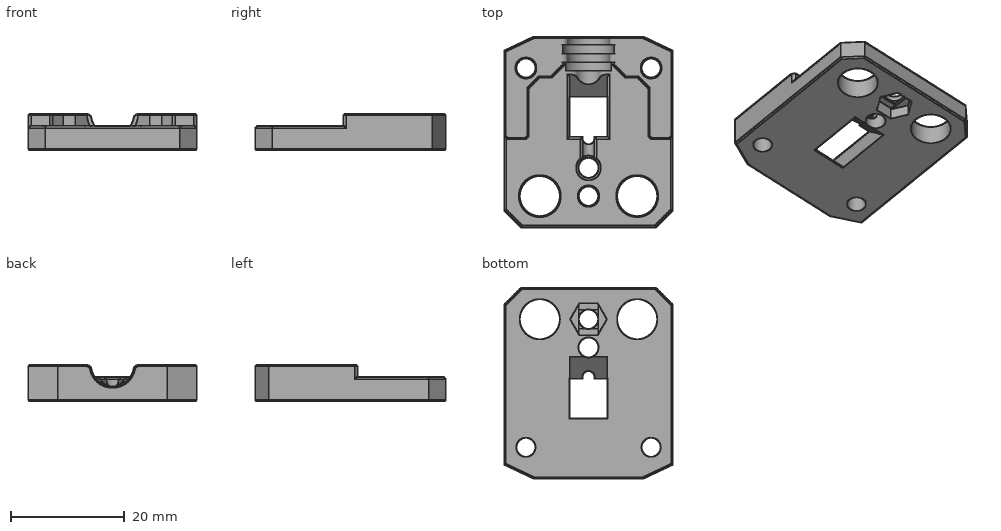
import cadquery as cq
import math

LENGTH = 33.5
WIDTH = 29.6
HEIGHT = 6.4
FLOOR_Z = 4.3
HALF_W = WIDTH / 2
BACK_Y = LENGTH / 2
FRONT_Y = -LENGTH / 2
FRONT_CORNER = 2.98
BACK_CORNER_X = 5.15
BACK_CORNER_Y = 2.45

RIM_CHAMFER = 0.27
FLOOR_CHAMFER = 0.4
MOUTH_CHAMFER = 0.45
HOLE_CHAMFER = 0.2

ARM_END_Y = -1.27
ARM_CORNER = 0.55
ARM_INNER_X = 10.5
SHOULDER_Y = 9.5
SHOULDER_OUTER_X = 8.65
SHOULDER_INNER_X = 6.5

GROOVE_RADIUS = 4.5
RIB_RADIUS = 3.75
RIB_LIP_X = 4.6
RIB_BANDS = ((15.3, BACK_Y), (12.23, 13.8))
GROOVE_END_Y = 10.75

TROUGH_RADIUS = 2.25
TROUGH_BOTTOM_Z = 2.55
TROUGH_LIP_X = 3.15

WINDOW_WIDTH = 6.6
RAMP_TOP_Y = 10.15
RAMP_LAND = 0.35
WINDOW_FRONT_Y = -0.77

CHANNEL_RADIUS = 1.05
CHANNEL_BOTTOM_Z = 2.5

REAR_HOLE_D = 3.3
REAR_HOLE_X = 11.0
REAR_HOLE_Y = 11.25
BIG_HOLE_D = 7.0
BIG_HOLE_X = 8.55
FRONT_HOLES_Y = -11.22
FRONT_HOLE_D = 3.4
NUT_FLATS = 5.6
NUT_TOP_Z = 2.3
BRIDGE_STEP = 0.35
WIRE_HOLE_D = 3.5
WIRE_HOLE_Y = -6.25


def mirrored(points):
    """Close a left-hand chain of points with its mirror image in X."""
    return points + [(-x, y) for x, y in reversed(points)]


def prism(points, bottom, top):
    """Upright prism between two heights."""
    return cq.Workplane("XY").workplane(offset=bottom).polyline(points).close().extrude(top - bottom)


def along_y(profile, y_start, y_end):
    """Extrude an XZ outline from y_start to y_end."""
    return profile.extrude(y_end - y_start).translate((0, y_end, 0))


def make_base():
    outline = mirrored([
        (FRONT_CORNER - HALF_W, FRONT_Y),
        (-HALF_W, FRONT_Y + FRONT_CORNER),
        (-HALF_W, BACK_Y - BACK_CORNER_Y),
        (BACK_CORNER_X - HALF_W, BACK_Y),
    ])
    base = prism(outline, 0, FLOOR_Z)
    return base.faces(">Z").chamfer(FLOOR_CHAMFER).faces("<Z").chamfer(RIM_CHAMFER)


def make_rim():
    """Rim with its upper edges chamfered, except at the back where the groove breaks out."""
    shoulder_run = RIB_BANDS[1][0] - SHOULDER_Y
    outline = mirrored([
        (BACK_CORNER_X - HALF_W, BACK_Y),
        (-HALF_W, BACK_Y - BACK_CORNER_Y),
        (-HALF_W, ARM_END_Y + ARM_CORNER),
        (ARM_CORNER - HALF_W, ARM_END_Y),
        (-ARM_INNER_X - ARM_CORNER, ARM_END_Y),
        (-ARM_INNER_X, ARM_END_Y + ARM_CORNER),
        (-ARM_INNER_X, SHOULDER_Y - (ARM_INNER_X - SHOULDER_OUTER_X)),
        (-SHOULDER_OUTER_X, SHOULDER_Y),
        (-SHOULDER_INNER_X, SHOULDER_Y),
        (shoulder_run - SHOULDER_INNER_X, SHOULDER_Y + shoulder_run),
    ])
    rim = prism(outline, FLOOR_Z - FLOOR_CHAMFER, HEIGHT)
    return rim.faces(">Z").edges("not(>Y)").chamfer(RIM_CHAMFER)


def flared_trough(radius, axis_z, lip_x, lip_z, y_start, y_end):
    """Round trough whose two sides roll over tangentially into the plane z = lip_z."""
    drop = axis_z - lip_z
    flare = (lip_x ** 2 + drop ** 2 - radius ** 2) / (2 * (radius - drop))
    axis_distance = radius + flare
    joint_x = lip_x * radius / axis_distance
    joint_z = axis_z - (drop + flare) * radius / axis_distance
    half_angle = math.atan2(joint_x - lip_x, joint_z - (lip_z - flare)) / 2
    flare_mid_x = lip_x + flare * math.sin(half_angle)
    flare_mid_z = lip_z - flare + flare * math.cos(half_angle)
    profile = (
        cq.Workplane("XZ")
        .moveTo(-lip_x, lip_z)
        .threePointArc((-flare_mid_x, flare_mid_z), (-joint_x, joint_z))
        .threePointArc((0, axis_z - radius), (joint_x, joint_z))
        .threePointArc((flare_mid_x, flare_mid_z), (lip_x, lip_z))
        .close()
    )
    return along_y(profile, y_start, y_end)


def cut_gland_groove(body):
    """Wide round groove crossed by two narrower ribs with rounded shoulders."""
    rib_outer, rib_inner = RIB_BANDS
    for y_start, y_end in RIB_BANDS:
        body = body.cut(flared_trough(RIB_RADIUS, HEIGHT, RIB_LIP_X, HEIGHT, y_start, y_end))
    for y_start, y_end in ((rib_inner[1], rib_outer[0]), (GROOVE_END_Y, rib_inner[0])):
        circle = cq.Workplane("XZ").center(0, HEIGHT).circle(GROOVE_RADIUS)
        body = body.cut(along_y(circle, y_start, y_end))
    return body.faces(">Y").edges(">Z or %CIRCLE").chamfer(RIM_CHAMFER)


def cut_trough(body):
    return body.cut(flared_trough(
        TROUGH_RADIUS, TROUGH_BOTTOM_Z + TROUGH_RADIUS, TROUGH_LIP_X, FLOOR_Z,
        RAMP_TOP_Y - FLOOR_Z, GROOVE_END_Y))


def make_window():
    """Slot running down and forward between two parallel slanted walls."""
    half_width = WINDOW_WIDTH / 2
    chamfer_z = FLOOR_Z - MOUTH_CHAMFER
    land_y = RAMP_TOP_Y - FLOOR_Z + RAMP_LAND
    slanted = (
        cq.Workplane("YZ")
        .polyline([
            (RAMP_TOP_Y, FLOOR_Z), (land_y, RAMP_LAND), (land_y, 0),
            (WINDOW_FRONT_Y - chamfer_z, 0), (WINDOW_FRONT_Y, chamfer_z), (WINDOW_FRONT_Y, FLOOR_Z),
        ])
        .close()
        .extrude(half_width, both=True)
    )
    return slanted.union(make_window_mouth())


def make_window_mouth():
    """45 degree lead-in along the sides and front of the window, ending on the ramp."""
    half_width = WINDOW_WIDTH / 2
    flank = half_width + MOUTH_CHAMFER
    chamfer_z = FLOOR_Z - MOUTH_CHAMFER
    sides = along_y(
        cq.Workplane("XZ").polyline([
            (-half_width, chamfer_z), (half_width, chamfer_z), (flank, FLOOR_Z), (-flank, FLOOR_Z),
        ]).close(),
        WINDOW_FRONT_Y - MOUTH_CHAMFER, RAMP_TOP_Y)
    ends = (
        cq.Workplane("YZ")
        .polyline([
            (WINDOW_FRONT_Y, chamfer_z), (WINDOW_FRONT_Y - MOUTH_CHAMFER, FLOOR_Z),
            (RAMP_TOP_Y, FLOOR_Z), (RAMP_TOP_Y - MOUTH_CHAMFER, chamfer_z),
        ])
        .close()
        .extrude(flank, both=True)
    )
    return sides.intersect(ends)


def make_channel():
    """U-shaped channel with chamfered upper edges."""
    axis_z = CHANNEL_BOTTOM_Z + CHANNEL_RADIUS
    chamfer_z = FLOOR_Z - MOUTH_CHAMFER
    flank = CHANNEL_RADIUS + MOUTH_CHAMFER
    profile = (
        cq.Workplane("XZ")
        .moveTo(-CHANNEL_RADIUS, axis_z)
        .threePointArc((0, CHANNEL_BOTTOM_Z), (CHANNEL_RADIUS, axis_z))
        .lineTo(CHANNEL_RADIUS, chamfer_z)
        .lineTo(flank, FLOOR_Z)
        .lineTo(-flank, FLOOR_Z)
        .lineTo(-CHANNEL_RADIUS, chamfer_z)
        .close()
    )
    return along_y(profile, WIRE_HOLE_Y, WINDOW_FRONT_Y)


def make_hole(diameter, x, y, top, chamfer):
    """Through hole with a 45 degree countersink at height top."""
    radius = diameter / 2
    profile = [(0, 0), (radius, 0), (radius, top - chamfer), (radius + chamfer, top), (0, top)]
    return cq.Workplane("XZ").polyline(profile).close().revolve(360, (0, 0), (0, 1)).translate((x, y, 0))


def make_nut_trap():
    """Hexagon from below, stepped into the round hole by a cross slot and a square."""
    nut_corners = NUT_FLATS / math.cos(math.radians(30))
    slot_top = NUT_TOP_Z + BRIDGE_STEP
    square_top = slot_top + BRIDGE_STEP
    nut = cq.Workplane("XY").polygon(6, nut_corners).extrude(NUT_TOP_Z)
    slot = (
        cq.Workplane("XY").polygon(6, nut_corners).extrude(slot_top)
        .intersect(cq.Workplane("XY").box(FRONT_HOLE_D, NUT_FLATS, 2 * slot_top))
    )
    square = cq.Workplane("XY").rect(FRONT_HOLE_D, FRONT_HOLE_D).extrude(square_top)
    return nut.union(slot).union(square).translate((0, FRONT_HOLES_Y, 0))


def chamfer_channel_exit(body):
    """Chamfer the curved edge where the round channel bottom meets the wire hole."""
    half_width = CHANNEL_RADIUS / 2
    axis_z = CHANNEL_BOTTOM_Z + CHANNEL_RADIUS
    exit_zone = cq.selectors.BoxSelector(
        (-half_width, WIRE_HOLE_Y, CHANNEL_BOTTOM_Z),
        (half_width, WIRE_HOLE_Y + WIRE_HOLE_D / 2, axis_z))
    return body.edges(exit_zone).chamfer(MOUTH_CHAMFER)


body = make_base().union(make_rim())
body = cut_gland_groove(body)
body = cut_trough(body)
body = body.cut(make_window())
body = body.cut(make_channel())
for side in (-1, 1):
    body = body.cut(make_hole(REAR_HOLE_D, side * REAR_HOLE_X, REAR_HOLE_Y, HEIGHT, HOLE_CHAMFER))
    body = body.cut(make_hole(BIG_HOLE_D, side * BIG_HOLE_X, FRONT_HOLES_Y, FLOOR_Z, HOLE_CHAMFER))
body = body.cut(make_hole(FRONT_HOLE_D, 0, FRONT_HOLES_Y, FLOOR_Z, HOLE_CHAMFER))
body = body.cut(make_nut_trap())
body = body.cut(make_hole(WIRE_HOLE_D, 0, WIRE_HOLE_Y, FLOOR_Z, MOUTH_CHAMFER))
result = chamfer_channel_exit(body)